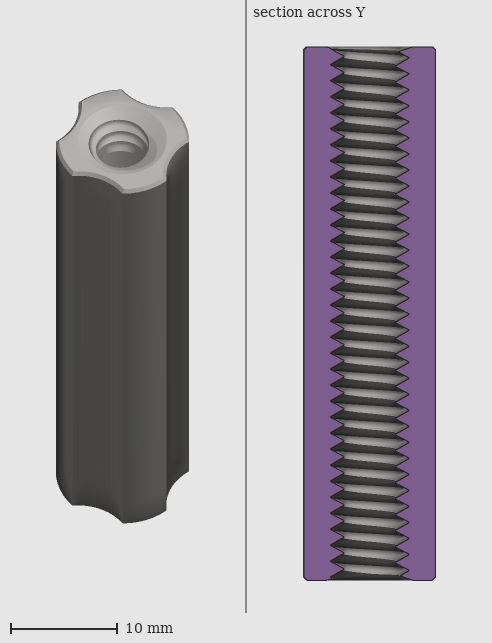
import cadquery as cq
import math

length = 50.0
outer_radius = 6.25
flute_count = 4
flute_radius = 5.0
lobe_half_width = 2.2
chamfer_size = 0.3

pitch = 1.5
crest_radius = 2.5
flank_angle = 30.0
thread_depth = pitch / 2 / math.tan(math.radians(flank_angle))
root_radius = crest_radius + thread_depth
spare_turns = 2
root_exit_angle = 60.0

countersink_radius = 4.15
countersink_slope = 0.35
countersink_depth = countersink_radius * countersink_slope


def make_body():
    """Round bar with concave flutes on the diagonals and chamfered ends."""
    lobe_reach = math.sqrt(outer_radius**2 - lobe_half_width**2)
    chord_distance = (lobe_reach + lobe_half_width) / math.sqrt(2)
    half_chord = (lobe_reach - lobe_half_width) / math.sqrt(2)
    flute_axis_distance = chord_distance + math.sqrt(flute_radius**2 - half_chord**2)
    first_flute_angle = 180 / flute_count
    flutes = (
        cq.Workplane("XY")
        .polarArray(flute_axis_distance, first_flute_angle, 360, flute_count)
        .circle(flute_radius)
        .extrude(length)
    )
    bar = cq.Workplane("XY").circle(outer_radius).extrude(length)
    return bar.cut(flutes).faces("<Z or >Z").chamfer(chamfer_size)


def helix_turn(radius, start_z):
    """One full turn of a helix that starts above the +X axis."""
    return cq.Wire.makeHelix(pitch, pitch, radius, cq.Vector(0, 0, start_z)).Edges()[0]


def end_faces(crest_turn, crest_z):
    """Helical floor out to a crest turn, and the flat step that joins its two ends."""
    root_z = crest_z + pitch / 2
    next_crest_z = crest_z + pitch
    axis = cq.Edge.makeLine(cq.Vector(0, 0, crest_z), cq.Vector(0, 0, next_crest_z))
    step_corners = [
        cq.Vector(0, 0, crest_z),
        cq.Vector(crest_radius, 0, crest_z),
        cq.Vector(root_radius, 0, root_z),
        cq.Vector(crest_radius, 0, next_crest_z),
        cq.Vector(0, 0, next_crest_z),
    ]
    step = cq.Face.makeFromWires(cq.Wire.makePolygon(step_corners, close=True))
    return [cq.Face.makeRuledSurface(axis, crest_turn), step]


def make_thread_core():
    """Threaded rod that fills the hole and runs past both ends of the body."""
    turn_count = math.ceil(length / pitch) + 2 * spare_turns
    start_z = -spare_turns * pitch
    crests = [helix_turn(crest_radius, start_z + i * pitch) for i in range(turn_count + 1)]
    roots = [helix_turn(root_radius, start_z + (i + 0.5) * pitch) for i in range(turn_count)]

    faces = []
    for lower_crest, root, upper_crest in zip(crests, roots, crests[1:]):
        faces.append(cq.Face.makeRuledSurface(lower_crest, root))
        faces.append(cq.Face.makeRuledSurface(root, upper_crest))

    top_z = start_z + turn_count * pitch
    faces += end_faces(crests[0], start_z)
    faces += end_faces(crests[-1], top_z)
    core = cq.Solid.makeSolid(cq.Shell.makeShell(faces))

    unturned_exit_angle = 360 * (length - start_z - pitch / 2) / pitch
    turn = (root_exit_angle - unturned_exit_angle) % 360
    return cq.Workplane(core).rotate((0, 0, 0), (0, 0, 1), turn)


def make_countersinks():
    """Shallow cones that open both ends of the thread, drawn out to their points."""
    bottom = cq.Solid.makeCone(countersink_radius, 0, countersink_depth)
    top = bottom.mirror("XY").translate(cq.Vector(0, 0, length))
    return cq.Workplane(bottom).add(top).combine()


result = make_body().cut(make_thread_core()).cut(make_countersinks())